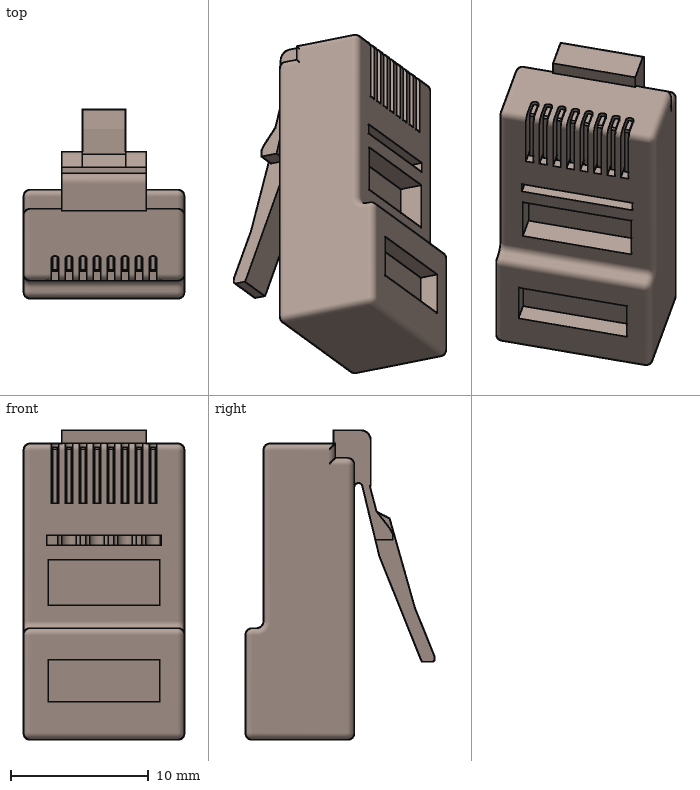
import cadquery as cq


WIDTH = 11.7
BLOCK_TOP = 21.51
BACK_Y = 7.91
SHELF_Z = 8.12
UPPER_FRONT_Y = 1.3
NOTCH_Y = 6.52
NOTCH_Z = 20.45
ROUND = 0.5

POCKET_WIDTH = 8.12
UPPER_POCKET_Z = (9.75, 13.08)
UPPER_POCKET_DEPTH = 1.69
UPPER_POCKET_Y = (UPPER_FRONT_Y, UPPER_FRONT_Y + UPPER_POCKET_DEPTH)
LOWER_POCKET_Z = (2.79, 5.82)
LOWER_POCKET_DEPTH = 1.35
LOWER_POCKET_Y = (0, LOWER_POCKET_DEPTH)
WINDOW_WIDTH = 8.27
WINDOW_Z = (14.15, 14.85)

CONTACT_COUNT = 8
CONTACT_SPAN = 7.1
CONTACT_PITCH = CONTACT_SPAN / (CONTACT_COUNT - 1)
CONTACT_XS = [i * CONTACT_PITCH - CONTACT_SPAN / 2 for i in range(CONTACT_COUNT)]
SLOT_WIDTH = 0.56
SLOT_BOTTOM = 17.17
SLOT_BACK_Y = 3.1
BLADE_WIDTH = 0.34
BLADE_FRONT_Y = 1.98
BLADE_TOP = BLOCK_TOP - 0.3
BLADE_CHAMFER = 0.13

LATCH_WIDTH = 6.15
ARM_WIDTH = 3.12
LATCH_TOP = 22.48
LATCH_FRONT_Y = 6.38
LATCH_BACK_Y = 9.1
LATCH_ROUND = 0.75
HINGE_RADIUS = 0.3
HINGE_Z = 18.35
HINGE_OUTER_Z = 18.43
HINGE_STEP = 0.07
HINGE_END = (9.53, 16.57)
SHOULDER_RAMP_END = (10.48, 15.35)
SHOULDER_Y = 10.68
SHOULDER_TOP = 14.97
SHOULDER_BOTTOM = 14.52
ARM_RAMP_END = (10.48, 16.07)
ARM_OUTER_BEND = (12.32, 9.55)
ARM_INNER_BEND = (9.71, 13.33)
TIP_OUTER_Y = 13.74
TIP_OUTER_Z = 6.07
TIP_INNER_Y = 12.7
TIP_BOTTOM = 5.66
TIP_CORNER = 0.11

HINGE_INNER_Y = BACK_Y + 2 * HINGE_RADIUS
INNER_SLOPE = (ARM_INNER_BEND[0] - HINGE_INNER_Y) / (ARM_INNER_BEND[1] - HINGE_Z)
SHOULDER_INNER_Y = HINGE_INNER_Y + INNER_SLOPE * (SHOULDER_BOTTOM - HINGE_Z)

BAR_SETBACK = 1.0
BAR_DEPTH = 1.25
BAR_FRONT_Y = UPPER_FRONT_Y + BAR_SETBACK
BAR_BACK_Y = BAR_FRONT_Y + BAR_DEPTH
GROOVE_RADIUS = 1.05 / 2
GROOVE_LIP = 0.3


def extrude_side(outline, width):
    """Extrude a closed (Y, Z) outline symmetrically about the middle of the width."""
    return outline.extrude(width / 2, both=True)


def block_between(width, y_range, z_range):
    """Box centred on X that spans the given Y and Z ranges."""
    y_low, y_high = y_range
    z_low, z_high = z_range
    box = cq.Workplane("XY").box(width, y_high - y_low, z_high - z_low, centered=(True, False, False))
    return box.translate((0, y_low, z_low))


def edges_across(solid, corners):
    """Edges that run along X through the given (Y, Z) corners."""
    lengthwise = solid.edges("|X")
    return [lengthwise.edges(cq.selectors.NearestToPointSelector((0, y, z))).val() for y, z in corners]


def make_block():
    """Stepped block with rounded outside edges and a sharp-edged notch behind the top."""
    outline = (
        cq.Workplane("YZ")
        .moveTo(0, 0)
        .lineTo(0, SHELF_Z)
        .lineTo(UPPER_FRONT_Y, SHELF_Z)
        .lineTo(UPPER_FRONT_Y, BLOCK_TOP)
        .lineTo(NOTCH_Y, BLOCK_TOP)
        .lineTo(NOTCH_Y, NOTCH_Z)
        .lineTo(BACK_Y, NOTCH_Z)
        .lineTo(BACK_Y, 0)
        .close()
    )
    block = extrude_side(outline, WIDTH)

    shelf_corner = edges_across(block, [(UPPER_FRONT_Y, SHELF_Z)])
    block = block.newObject(shelf_corner).fillet(ROUND)

    rounded_corners = [
        (0, 0),
        (0, SHELF_Z),
        (UPPER_FRONT_Y, BLOCK_TOP),
        (BACK_Y, NOTCH_Z),
        (BACK_Y, 0),
    ]
    side_edges = block.faces("<X or >X").edges().vals()
    return block.newObject(side_edges + edges_across(block, rounded_corners)).fillet(ROUND)


def make_latch_foot():
    """Full-width hinge and shoulder of the latch, reaching into the block to join it."""
    outline = (
        cq.Workplane("YZ")
        .moveTo(LATCH_FRONT_Y, LATCH_TOP)
        .lineTo(LATCH_BACK_Y - LATCH_ROUND, LATCH_TOP)
        .radiusArc((LATCH_BACK_Y, LATCH_TOP - LATCH_ROUND), LATCH_ROUND)
        .lineTo(LATCH_BACK_Y, HINGE_OUTER_Z)
        .lineTo(LATCH_BACK_Y - HINGE_STEP, HINGE_OUTER_Z)
        .lineTo(*HINGE_END)
        .lineTo(*SHOULDER_RAMP_END)
        .lineTo(SHOULDER_Y, SHOULDER_TOP)
        .lineTo(SHOULDER_Y, SHOULDER_BOTTOM)
        .lineTo(SHOULDER_INNER_Y, SHOULDER_BOTTOM)
        .lineTo(HINGE_INNER_Y, HINGE_Z)
        .threePointArc((BACK_Y + HINGE_RADIUS, HINGE_Z + HINGE_RADIUS), (BACK_Y, HINGE_Z))
        .lineTo(LATCH_FRONT_Y, HINGE_Z)
        .close()
    )
    return extrude_side(outline, LATCH_WIDTH)


def make_latch_arm():
    """Narrow arm that starts at the hinge and ends in the finger tip."""
    outline = (
        cq.Workplane("YZ")
        .moveTo(*HINGE_END)
        .lineTo(*ARM_RAMP_END)
        .lineTo(*ARM_OUTER_BEND)
        .lineTo(TIP_OUTER_Y, TIP_OUTER_Z)
        .lineTo(TIP_OUTER_Y, TIP_BOTTOM + TIP_CORNER)
        .lineTo(TIP_OUTER_Y - TIP_CORNER, TIP_BOTTOM)
        .lineTo(TIP_INNER_Y + TIP_CORNER, TIP_BOTTOM)
        .lineTo(TIP_INNER_Y, TIP_BOTTOM + 2 * TIP_CORNER)
        .lineTo(*ARM_INNER_BEND)
        .lineTo(SHOULDER_INNER_Y, SHOULDER_BOTTOM)
        .close()
    )
    return extrude_side(outline, ARM_WIDTH)


def make_contact_slot(x):
    """Slot open to the front and the top, with a round end towards the latch."""
    half_width = SLOT_WIDTH / 2
    round_start_y = SLOT_BACK_Y - half_width
    return (
        cq.Workplane("XY", origin=(x, 0, SLOT_BOTTOM))
        .moveTo(-half_width, UPPER_FRONT_Y)
        .lineTo(-half_width, round_start_y)
        .threePointArc((0, SLOT_BACK_Y), (half_width, round_start_y))
        .lineTo(half_width, UPPER_FRONT_Y)
        .close()
        .extrude(BLOCK_TOP - SLOT_BOTTOM)
    )


def make_contact_blade(x):
    """Thin contact standing in its slot, with a bevelled upper front edge."""
    blade = block_between(BLADE_WIDTH, (BLADE_FRONT_Y, SLOT_BACK_Y), (SLOT_BOTTOM, BLADE_TOP))
    blade = blade.edges("<Y and >Z").chamfer(BLADE_CHAMFER)
    return blade.translate((x, 0, 0))


def make_housing():
    """Block with its latch, front openings and contacts, all one solid."""
    housing = make_block().union(make_latch_foot()).union(make_latch_arm())
    housing = housing.cut(block_between(POCKET_WIDTH, UPPER_POCKET_Y, UPPER_POCKET_Z))
    housing = housing.cut(block_between(POCKET_WIDTH, LOWER_POCKET_Y, LOWER_POCKET_Z))
    housing = housing.cut(block_between(WINDOW_WIDTH, (UPPER_FRONT_Y, BAR_BACK_Y), WINDOW_Z))
    for x in CONTACT_XS:
        housing = housing.cut(make_contact_slot(x))
        housing = housing.union(make_contact_blade(x))
    return housing


def make_wire_groove(x):
    """Cutter for one round-bottomed wire groove with rounded lips."""
    lip_y = BAR_FRONT_Y + GROOVE_LIP
    mouth_half = GROOVE_RADIUS + GROOVE_LIP
    return (
        cq.Workplane("XY", origin=(x, 0, WINDOW_Z[0]))
        .moveTo(-mouth_half, BAR_FRONT_Y)
        .radiusArc((-GROOVE_RADIUS, lip_y), GROOVE_LIP)
        .threePointArc((0, lip_y + GROOVE_RADIUS), (GROOVE_RADIUS, lip_y))
        .radiusArc((mouth_half, BAR_FRONT_Y), GROOVE_LIP)
        .close()
        .extrude(WINDOW_Z[1] - WINDOW_Z[0])
    )


def make_wire_bar():
    """Bar filling the rear of the window, grooved behind every second contact."""
    bar = block_between(WINDOW_WIDTH, (BAR_FRONT_Y, BAR_BACK_Y), WINDOW_Z)
    for x in CONTACT_XS[1::2]:
        bar = bar.cut(make_wire_groove(x))
    return bar


housing = make_housing()
wire_bar = make_wire_bar()

result = cq.Compound.makeCompound([housing.solids().val(), wire_bar.solids().val()])